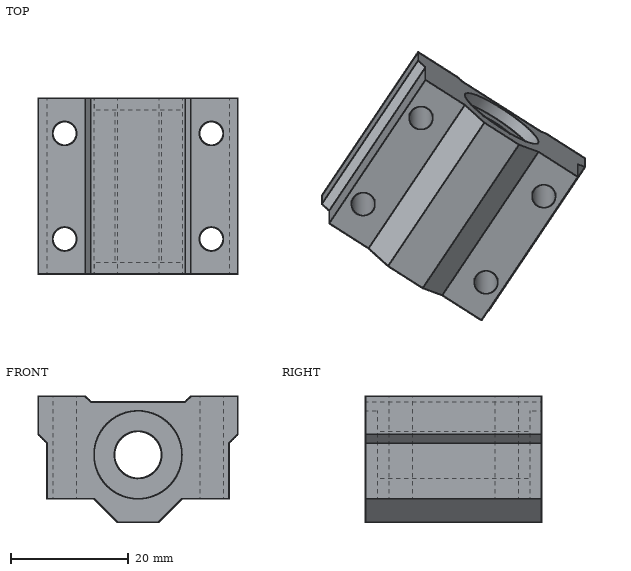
import cadquery as cq

width = 34.0
length = 30.0
height = 21.5

groove_depth = 1.0
groove_floor_width = 16.0
groove_top_width = 18.02
flange_thickness = 6.5
flange_overhang = 1.5
body_width = width - 2 * flange_overhang
foot_height = 3.98
foot_top_width = 15.0
foot_bottom_width = foot_top_width - 2 * foot_height

bore_depth_below_top = 10.0
bore_diameter = 8.0
recess_diameter = 15.0
recess_depth = 2.0

hole_diameter = 4.0
hole_spacing_x = 25.0
hole_spacing_y = 18.0


def make_block():
    """Extrude the symmetric cross-section along Y, centred on the origin."""
    body_bottom = foot_height - height
    right_side = [
        (groove_floor_width / 2, -groove_depth),
        (groove_top_width / 2, 0),
        (width / 2, 0),
        (width / 2, -flange_thickness),
        (body_width / 2, -flange_thickness - flange_overhang),
        (body_width / 2, body_bottom),
        (foot_top_width / 2, body_bottom),
        (foot_bottom_width / 2, -height),
    ]
    left_side = [(-x, z) for x, z in reversed(right_side)]
    profile = cq.Workplane("XZ").polyline(right_side + left_side).close()
    return profile.extrude(length / 2, both=True)


def make_bore():
    """Through bore with an equal bearing recess at each end."""
    axis = cq.Workplane("XZ").center(0, -bore_depth_below_top)
    bore = axis.circle(bore_diameter / 2).extrude(length / 2, both=True)
    recess = axis.workplane(offset=length / 2 - recess_depth).circle(recess_diameter / 2).extrude(recess_depth)
    return bore.union(recess).union(recess.mirror("XZ"))


def make_mounting_holes():
    """Four vertical holes through the flanges and body."""
    return (
        cq.Workplane("XY")
        .rarray(hole_spacing_x, hole_spacing_y, 2, 2)
        .circle(hole_diameter / 2)
        .extrude(-height)
    )


result = make_block().cut(make_bore()).cut(make_mounting_holes())